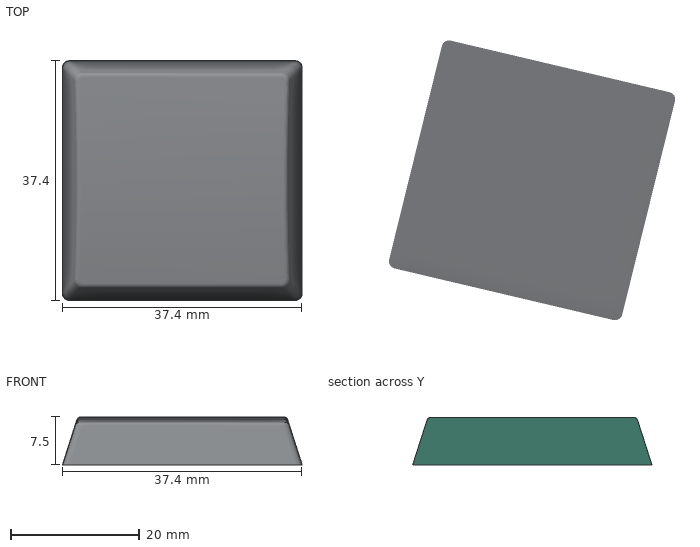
import cadquery as cq
import math

base_side = 37.35
height = 7.5
wall_taper = 17.8
crown_radius = 145.0
corner_radius = 1.25
rim_radius = 0.7

half_side = base_side / 2
crown_drop = crown_radius - math.sqrt(crown_radius**2 - half_side**2)
shoulder_height = height - crown_drop


def tapered_block():
    """Square block with leaning walls and rounded corner edges."""
    block = cq.Workplane("XY").rect(base_side, base_side).extrude(height, taper=wall_taper)
    sloping_edges = block.edges("not(|X or |Y)")
    return sloping_edges.fillet(corner_radius)


def crown_envelope():
    """Prism along X whose upper side is the convex crown."""
    return (
        cq.Workplane("YZ")
        .moveTo(-half_side, 0)
        .lineTo(-half_side, shoulder_height)
        .threePointArc((0, height), (half_side, shoulder_height))
        .lineTo(half_side, 0)
        .close()
        .extrude(half_side, both=True)
    )


def round_rim(body):
    """Round the edge loop between the walls and the crown."""
    crown_face = body.faces(cq.selectors.NearestToPointSelector((0, 0, height)))
    return crown_face.edges().fillet(rim_radius)


crowned_block = tapered_block().intersect(crown_envelope())
result = round_rim(crowned_block)